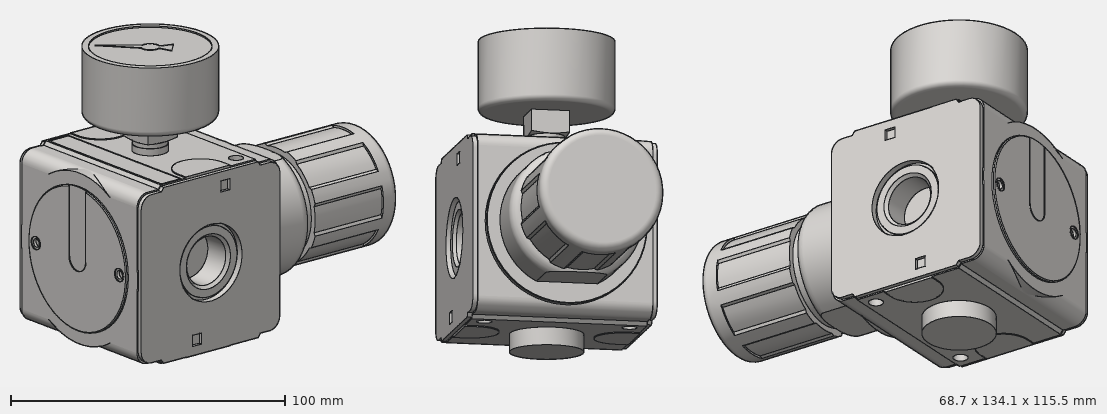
import cadquery as cq
import math


total_width = 68.7
core_width = 65.3
front_y = -33.8
back_y = 33.4
saddle_z = 34.5
saddle_back_y = 22.5
saddle_front_y = -22.5
shoulder_z = 33.0
shoulder_run = 1.1
corner_radius = 5.0
plate_inset = 0.5

pad_width = 21.0
pad_reach = 14.7
pad_height = 0.4

label_width = 63.8
label_front_y = -21.6
label_back_y = -12.2
label_depth = 0.3

mount_hole_diameter = 5.5
mount_hole_x = 27.1
mount_hole_y = 18.1

port_recess_diameter = 29.6
port_recess_depth = 1.5
port_seat_diameter = 27.2
port_groove_depth = 2.7
port_mouth_diameter = 21.0
port_bore_diameter = 18.6
port_bore_depth = 12.9
marker_size = 4.3
marker_depth = 1.3
upper_marker_y = 6.8
lower_marker_y = -6.5
marker_z = 28.3

cover_diameter = 55.5
cover_thickness = 1.1
cover_chamfer = 0.4
cover_front_y = front_y - cover_thickness
slot_width = 9.4
slot_depth = 0.4
screw_x = 23.6
screw_diameter = 5.0
screw_recess = 0.4
socket_diameter = 3.2
socket_depth = 1.6

boss_diameter = 27.2
boss_bottom_z = -41.0

flange_diameter = 59.9
flange_end_y = 35.9
flange_chamfer = 0.3
nut_diameter = 50.0
nut_end_y = 56.1
nut_fillet = 4.0
nut_across_flats = 44.5
neck_diameter = 40.0
grip_start_y = 59.9
grip_end_y = 91.8
knob_end_y = 99.2
knob_diameter = 46.0
knob_fillet = 3.0
panel_count = 8
panel_floor_diameter = 44.4
panel_mouth_width = 12.5
panel_floor_width = 10.0

gauge_diameter = 50.0
gauge_bottom_z = 47.7
gauge_top_z = 74.5
gauge_fillet = 2.0
dial_diameter = 45.0
dial_depth = 0.5
stem_square = 14.2
stem_square_bottom_z = 39.1
stem_corner_cut = 0.7
stem_neck_diameter = 13.0
stem_thread_diameter = 13.4
stem_thread_top_z = 37.1
hub_diameter = 7.0
needle_angle = 45.0
needle_height = 0.3
needle_tip = 20.2
needle_root_width = 3.5
tail_start_width = 2.7
tail_end_width = 7.2
tail_length = 8.2


def y_cylinder(diameter, start_y, end_y, x=0.0):
    """Cylinder parallel to Y between two Y positions."""
    start = cq.Vector(x, start_y, 0)
    along_y = cq.Vector(0, 1, 0)
    return cq.Workplane(cq.Solid.makeCylinder(diameter / 2, end_y - start_y, start, along_y))


def z_cylinder(diameter, bottom_z, top_z, x=0.0, y=0.0):
    """Cylinder parallel to Z between two Z positions."""
    return cq.Workplane("XY", origin=(x, y, bottom_z)).circle(diameter / 2).extrude(top_z - bottom_z)


def block_slab(width, inset):
    """Stepped block profile, drawn in YZ, with its four corners rounded."""
    back = back_y - inset
    front = front_y + inset
    saddle = saddle_z - inset
    shoulder = shoulder_z - inset
    upper_half = [
        (front, shoulder),
        (saddle_front_y - shoulder_run, shoulder),
        (saddle_front_y, saddle),
        (saddle_back_y, saddle),
        (saddle_back_y + shoulder_run, shoulder),
        (back, shoulder),
    ]
    lower_half = [(y, -z) for y, z in reversed(upper_half)]
    slab = cq.Workplane("YZ").polyline(upper_half + lower_half).close().extrude(width / 2, both=True)
    for face in ("<Y", ">Y"):
        slab = slab.faces(face).edges("|X").fillet(corner_radius)
    return slab


def make_block():
    block = block_slab(core_width, 0).union(block_slab(total_width, plate_inset))
    return block.union(y_cylinder(2 * shoulder_z, front_y, 0))


def make_pads():
    """Four round-ended pads that run in from the sides, on the top and on the bottom."""
    straight = pad_reach - pad_width / 2
    height = saddle_z + pad_height
    pads = cq.Workplane("XY")
    for side in (-1, 1):
        edge_x = side * core_width / 2
        end_x = edge_x - side * straight
        bar = cq.Workplane("XY").box(straight, pad_width, 2 * height).translate(((edge_x + end_x) / 2, 0, 0))
        inner_x = end_x - side * pad_width / 4
        half_disc = z_cylinder(pad_width, -height, height, end_x).intersect(
            cq.Workplane("XY").box(pad_width / 2, pad_width, 2 * height).translate((inner_x, 0, 0))
        )
        pads = pads.union(bar).union(half_disc)
    return pads


def make_cover():
    """Front disc with an open-ended slot and two socket screws."""
    cover = y_cylinder(cover_diameter, cover_front_y, front_y).faces("<Y").chamfer(cover_chamfer)
    slot_floor_y = cover_front_y + slot_depth
    slot = y_cylinder(slot_width, cover_front_y, slot_floor_y).union(
        cq.Workplane("XY")
        .box(slot_width, slot_depth, cover_diameter / 2, centered=(True, False, False))
        .translate((0, cover_front_y, 0))
    )
    return cover.cut(slot)


def make_bonnet_and_knob():
    flange = y_cylinder(flange_diameter, 0, flange_end_y).faces(">Y").chamfer(flange_chamfer)
    nut = y_cylinder(nut_diameter, 0, nut_end_y).faces(">Y").edges().fillet(nut_fillet)
    nut = nut.intersect(cq.Workplane("XY").box(nut_diameter, 2 * nut_end_y, nut_across_flats))
    neck = y_cylinder(neck_diameter, 0, grip_start_y)
    knob = y_cylinder(knob_diameter, grip_start_y, knob_end_y).faces(">Y").edges().fillet(knob_fillet)
    panel_cutter = make_panel_cutter()
    for i in range(panel_count):
        knob = knob.cut(panel_cutter.rotate((0, 0, 0), (0, 1, 0), i * 360 / panel_count))
    return flange.union(nut).union(neck).union(knob)


def make_panel_cutter():
    """Shallow sunken grip panel with sloping sides and a floor concentric with the knob."""
    floor_radius = panel_floor_diameter / 2
    floor_x = panel_floor_width / 2
    floor_z = math.sqrt(floor_radius**2 - floor_x**2)
    mouth_x = panel_mouth_width / 2
    mouth_z = math.sqrt((knob_diameter / 2) ** 2 - mouth_x**2)
    return (
        cq.Workplane("XZ", origin=(0, grip_end_y, 0))
        .moveTo(-floor_x, floor_z)
        .threePointArc((0, floor_radius), (floor_x, floor_z))
        .lineTo(mouth_x, mouth_z)
        .lineTo(mouth_x, knob_diameter / 2)
        .lineTo(-mouth_x, knob_diameter / 2)
        .lineTo(-mouth_x, mouth_z)
        .close()
        .extrude(grip_end_y - grip_start_y)
    )


def make_port_cutter():
    """Void of the port on the -X side: recess, ring groove, chamfered mouth and blind bore."""
    mouth_chamfer = (port_mouth_diameter - port_bore_diameter) / 2
    outline = [
        (0, 0),
        (port_recess_diameter / 2, 0),
        (port_recess_diameter / 2, port_groove_depth),
        (port_seat_diameter / 2, port_groove_depth),
        (port_seat_diameter / 2, port_recess_depth),
        (port_mouth_diameter / 2, port_recess_depth),
        (port_bore_diameter / 2, port_recess_depth + mouth_chamfer),
        (port_bore_diameter / 2, port_bore_depth),
        (0, port_bore_depth),
    ]
    void = cq.Workplane("XY").polyline(outline).close().revolve(360, (0, 0, 0), (0, 1, 0))
    return void.rotate((0, 0, 0), (0, 0, 1), -90).translate((-total_width / 2, 0, 0))


def make_side_cutter():
    """Port and two square markers of the -X end plate."""
    cutter = make_port_cutter()
    for y, z in ((upper_marker_y, marker_z), (lower_marker_y, -marker_z)):
        marker = cq.Workplane("XY").box(2 * marker_depth, marker_size, marker_size)
        cutter = cutter.union(marker.translate((-total_width / 2, y, z)))
    return cutter


def make_regulator():
    boss = z_cylinder(boss_diameter, boss_bottom_z, 0)
    regulator = make_block().union(make_pads()).union(boss).union(make_bonnet_and_knob()).union(make_cover())
    label = (
        cq.Workplane("XY")
        .box(label_width, label_back_y - label_front_y, label_depth, centered=(True, False, False))
        .translate((0, label_front_y, saddle_z - label_depth))
    )
    regulator = regulator.cut(label)
    for x in (-mount_hole_x, mount_hole_x):
        regulator = regulator.cut(z_cylinder(mount_hole_diameter, -saddle_z, saddle_z, x, mount_hole_y))
    for x in (-screw_x, screw_x):
        regulator = regulator.cut(y_cylinder(screw_diameter, cover_front_y, cover_front_y + screw_recess, x))
        regulator = regulator.cut(y_cylinder(socket_diameter, cover_front_y, cover_front_y + socket_depth, x))
    side = make_side_cutter()
    return regulator.cut(side).cut(side.mirror("YZ"))


def make_stem():
    """Square shank with its lower corners cut conically, above a round neck and thread."""
    square_corner_radius = stem_square / math.sqrt(2)
    shank_height = gauge_bottom_z - stem_square_bottom_z
    turned = (
        cq.Workplane("XZ", origin=(0, 0, stem_square_bottom_z))
        .polyline([
            (0, 0),
            (stem_square / 2, 0),
            (square_corner_radius, stem_corner_cut),
            (square_corner_radius, shank_height),
            (0, shank_height),
        ])
        .close()
        .revolve(360, (0, 0, 0), (0, 1, 0))
    )
    square = (
        cq.Workplane("XY", origin=(0, 0, stem_square_bottom_z))
        .rect(stem_square, stem_square)
        .extrude(shank_height)
    )
    shank = square.intersect(turned)
    neck = z_cylinder(stem_neck_diameter, stem_thread_top_z, stem_square_bottom_z)
    thread = z_cylinder(stem_thread_diameter, saddle_z, stem_thread_top_z)
    return shank.union(neck).union(thread)


def make_needle():
    """Raised pointer: tapered tip, round hub and flared tail."""
    tip = [(0, -needle_root_width / 2), (0, needle_root_width / 2), (-needle_tip, 0)]
    tail = [
        (0, -tail_start_width / 2),
        (hub_diameter / 2, -tail_start_width / 2),
        (tail_length, -tail_end_width / 2),
        (tail_length, tail_end_width / 2),
        (hub_diameter / 2, tail_start_width / 2),
        (0, tail_start_width / 2),
    ]
    plane = cq.Workplane("XY", origin=(0, 0, gauge_top_z - dial_depth))
    needle = plane.circle(hub_diameter / 2).extrude(needle_height)
    for outline in (tip, tail):
        needle = needle.union(plane.polyline(outline).close().extrude(needle_height))
    return needle.rotate((0, 0, 0), (0, 0, 1), needle_angle)


def make_gauge():
    case = z_cylinder(gauge_diameter, gauge_bottom_z, gauge_top_z).faces("<Z").edges().fillet(gauge_fillet)
    case = case.cut(z_cylinder(dial_diameter, gauge_top_z - dial_depth, gauge_top_z))
    return case.union(make_needle()).union(make_stem())


regulator = make_regulator()
gauge = make_gauge()

result = cq.Compound.makeCompound([regulator.val(), gauge.val()])